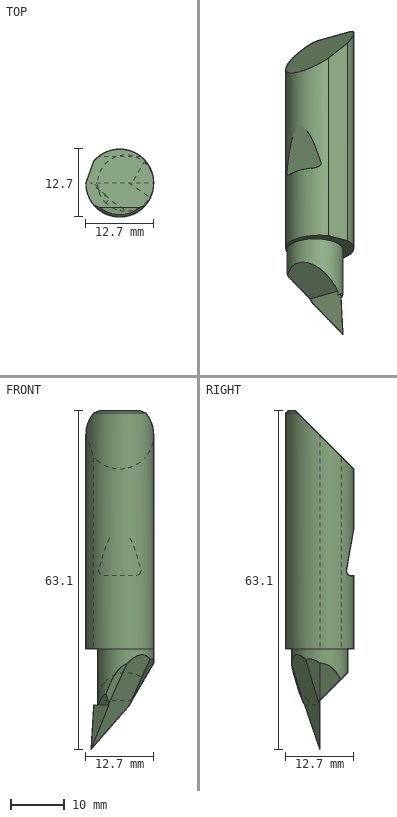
import cadquery as cq
import math

total_length = 63.15
shank_radius = 6.345
shank_bottom = 18.75
rim_chamfer = 0.45
bevel_axis_height = 58.635
flat_end_y = 4.05
notch_bottom = 32.4
notch_top = 41.05
notch_angle = 10.0
notch_fillet = 0.9

neck_radius = 5.25
neck_center_x = shank_radius - neck_radius
back_bevel_height = 9.1

step_height = 8.35
tip = (-5.35, 0, 0)
heel = (-4.85, 0, step_height)
ridge = (-1.95, -2.9, step_height)
ridge_end = (1.3, -neck_radius, 16.0)
rake_corner = (5.6, -2.65, 16.8)
side_start = (1.75, 0, 8.2)
side_end = (shank_radius, 0, 16.1)
overhang_start = (-3.9, -1.5, step_height)
overhang_end = (-2.5, -3.7, 10.3)

cutter_size = 189.45
diagonal_up = (0, 1, 1)
diagonal_down = (0, 1, -1)


def half_space(point, outward):
    """Large block filling the side of a plane that its outward normal faces."""
    plane = cq.Plane(origin=point, normal=outward)
    return cq.Workplane(plane).rect(cutter_size, cutter_size).extrude(cutter_size)


def facet(first, second, third, outward_hint):
    """Half space beyond the plane through three points, on the hinted side."""
    start = cq.Vector(*first)
    normal = (cq.Vector(*second) - start).cross(cq.Vector(*third) - start)
    if normal.dot(cq.Vector(*outward_hint)) < 0:
        normal = -normal
    return half_space(first, normal.toTuple())


def make_shank():
    shank = (
        cq.Workplane("XY", origin=(0, 0, shank_bottom))
        .circle(shank_radius)
        .extrude(total_length - shank_bottom)
        .faces(">Z")
        .chamfer(rim_chamfer)
    )
    shank = shank.cut(half_space((0, 0, bevel_axis_height), diagonal_up))
    flat_end_x = -math.sqrt(shank_radius**2 - flat_end_y**2)
    flat_normal = (-flat_end_y, flat_end_x + shank_radius, 0)
    shank = shank.cut(half_space((-shank_radius, 0, 0), flat_normal))
    return shank.cut(make_notch())


def make_notch():
    """Wedge across the +Y side, deepest at its rounded lower corner."""
    depth = (notch_top - notch_bottom) * math.tan(math.radians(notch_angle))
    return (
        cq.Workplane("YZ")
        .moveTo(shank_radius, notch_top)
        .lineTo(shank_radius - depth, notch_bottom)
        .lineTo(shank_radius + depth, notch_bottom)
        .lineTo(shank_radius + depth, notch_top)
        .close()
        .extrude(shank_radius, both=True)
        .edges("<Y")
        .fillet(notch_fillet)
    )


rake_cut = facet(tip, ridge_end, rake_corner, (1, -1, -1))


def make_neck():
    neck = (
        cq.Workplane("XY", origin=(neck_center_x, 0, step_height))
        .circle(neck_radius)
        .extrude(shank_bottom - step_height)
    )
    side_cut = facet(side_start, side_end, rake_corner, (1, 0, -1))
    side_slope = (side_end[2] - side_start[2], 0, side_start[0] - side_end[0])
    back_side_cut = half_space(side_start, side_slope)
    relief_cut = facet(ridge, ridge_end, overhang_end, (0, -1, 0))
    overhang_cut = facet(ridge, overhang_start, overhang_end, (-1, -1, -1))
    back_half = half_space((0, 0, 0), (0, 1, 0))
    back_bevel = half_space((0, 0, back_bevel_height), diagonal_down).intersect(back_half)
    cutters = (back_bevel, rake_cut, side_cut, back_side_cut, relief_cut, overhang_cut)
    for cutter in cutters:
        neck = neck.cut(cutter)
    return neck


def make_blade():
    blade = cq.Workplane("XY").box(
        2 * shank_radius, shank_radius, step_height, centered=(True, False, False)
    )
    blade = blade.translate((0, -shank_radius, 0))
    flank_cut = facet(tip, heel, ridge, (-1, -1, 0))
    return blade.cut(rake_cut).cut(flank_cut)


result = make_shank().union(make_neck()).union(make_blade())